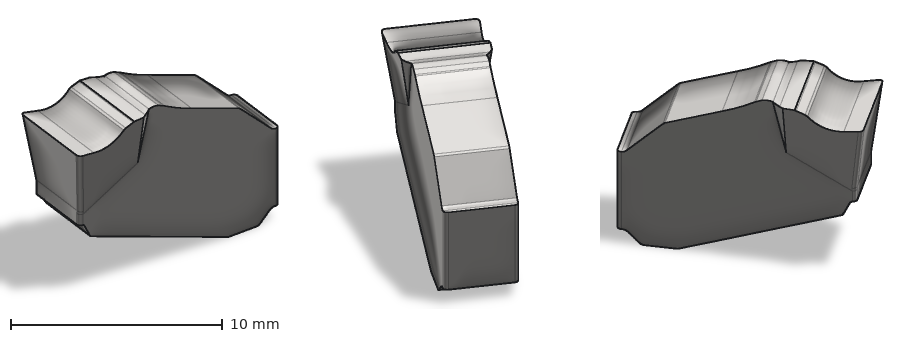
import cadquery as cq
import math

length = 12.0
shank_half_width = 1.82
corner_radius = 0.22

height = 8.85
edge_height = 8.03
land_height = 8.72
front_face_y = 0.42
front_face_bottom = 3.72
front_face_top = 4.51
back_bottom = 0.75
back_top = 5.08

flare_corner = (3.82, 6.06)
flare_front = (0.64, 4.32)
taper_top = (4.46, 8.8)
flank_slope = 0.16
taper_slope = 0.7
prism_reach = 7.2


def side_profile():
    """Closed outline in the YZ plane, starting at the cutting edge and running along the top."""
    return (
        cq.Workplane("YZ")
        .moveTo(0, edge_height)
        .lineTo(0.95, 7.87)
        .threePointArc((1.9, 7.92), (2.71, 8.47))
        .lineTo(2.83, 8.55)
        .lineTo(3.26, 8.7)
        .lineTo(3.32, land_height)
        .lineTo(4.09, land_height)
        .tangentArcPoint(taper_top, relative=False)
        .threePointArc((4.75, height), (5.0, 8.81))
        .lineTo(5.29, 8.69)
        .lineTo(5.36, 8.65)
        .threePointArc((6.07, 8.29), (6.92, 7.95))
        .lineTo(9.68, 6.95)
        .lineTo(9.79, 6.86)
        .lineTo(11.52, 5.18)
        .tangentArcPoint((11.78, back_top), relative=False)
        .lineTo(length, back_top)
        .lineTo(length, back_bottom)
        .lineTo(11.75, back_bottom)
        .tangentArcPoint((11.42, 0.62), relative=False)
        .lineTo(10.91, 0.11)
        .tangentArcPoint((10.65, 0), relative=False)
        .lineTo(9.05, 0)
        .lineTo(1.1, 2.9)
        .lineTo(1.03, 3.01)
        .lineTo(0.75, 3.61)
        .tangentArcPoint((0.56, front_face_bottom), relative=False)
        .lineTo(front_face_y, front_face_bottom)
        .lineTo(front_face_y, front_face_top)
        .close()
    )


def widening_prism(start, end, slope):
    """Prism as wide as the shank along the line start-end, widening to the left of that direction."""
    run_y = end[0] - start[0]
    run_z = end[1] - start[1]
    run = math.hypot(run_y, run_z)
    direction = cq.Vector(0, run_y / run, run_z / run)
    origin = cq.Vector(0, start[0], start[1])
    section = cq.Plane(origin=origin, xDir=(1, 0, 0), normal=direction)
    outward = cq.Vector(0, -direction.z, direction.y)
    reach = prism_reach * section.yDir.dot(outward)
    far_half_width = shank_half_width + slope * prism_reach
    return (
        cq.Workplane(section)
        .polyline([
            (-shank_half_width, 0),
            (shank_half_width, 0),
            (far_half_width, reach),
            (-far_half_width, reach),
        ])
        .close()
        .extrude(length, both=True)
    )


def flared_head():
    """Part of the profile that spreads beyond the shank, bounded by flanks and rear tapers."""
    widest = shank_half_width + flank_slope * prism_reach
    blank = side_profile().extrude(widest, both=True)
    flanks = widening_prism(flare_front, flare_corner, flank_slope)
    tapers = widening_prism(flare_corner, taper_top, taper_slope)
    return blank.intersect(flanks).intersect(tapers)


shank = side_profile().extrude(shank_half_width, both=True)
body = shank.union(flared_head())

back_corners = body.faces(">Y").edges("|Z")
body = back_corners.fillet(corner_radius)

corner_zone = cq.selectors.BoxSelector(
    (-length, -0.12, front_face_bottom), (length, front_face_y + 0.01, edge_height)
)
result = body.edges(corner_zone).edges("not(|X or |Y)").fillet(corner_radius)